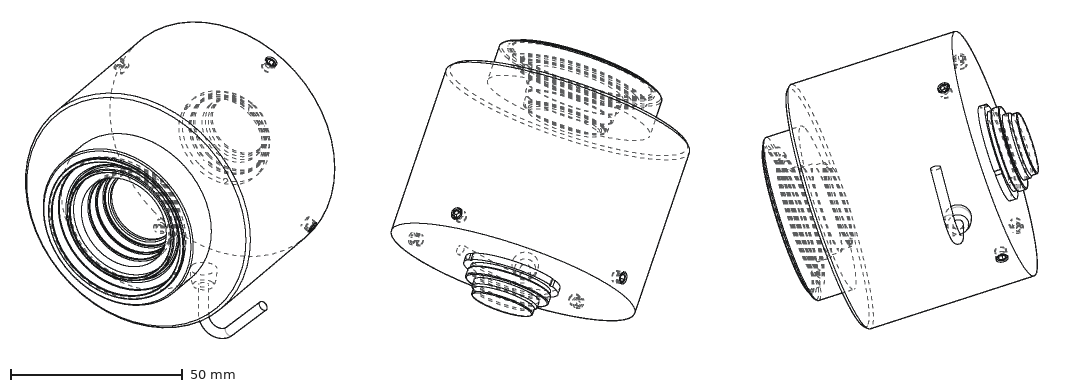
import cadquery as cq
import math


body_radius = 37.5
body_length = 51.7
body_chamfer = 1.0

hub_radius = 50.0 / 2
hub_length = 11.4
hub_chamfer = 0.5
rim_radius = 22.6
rim_height = 1.0
rim_chamfer = 0.2
front_y = -(body_length + hub_length + rim_height)

flange_radius = 29.0 / 2
flange_length = 2.0
neck_radius = 24.5 / 2
neck_length = 1.2
collar_radius = 25.4 / 2
collar_length = 2.7
collar_chamfer = 0.3
barrel_radius = 20.05 / 2
barrel_length = 1.9
tip_radius = 18.8 / 2
tip_length = 2.5
tip_chamfer = 0.3

groove_diameter = 1.35
groove_angles = (30, 150, 270)

mouth_radius = 21.3
mouth_depth = 4.05
mouth_floor_chamfer = 0.2
seat_radius = 18.4
seat_chamfer = 0.5
seat_depth = 4.8
ring_outer_radius = 17.8
ring_inner_radius = 16.8
ring_outer_chamfer = 0.3
ring_inner_chamfer = 0.2
ring_depth = 2.7
first_bore_radius = 14.2
bore_steps = ((13.5, 8.7), (12.9, 12.05), (12.2, 15.4))
step_chamfer = 0.2
bezel_depth = 15.8
bezel_radius = 22.6 / 2
lens_radius = 21.7 / 2
lens_edge_depth = 17.1
lens_bulge = 1.4

screw_y = -4.3
screw_angles = (60, 150, 240, 330)
screw_hole_diameter = 3.6
screw_hole_depth = 2.9
screw_recess = 0.4
screw_diameter = 3.0
socket_across_flats = 2.0
socket_depth = 1.4
cut_margin = 1.0

cable_y = -11.3
gland_radius = 7.7 / 2
gland_mouth_radius = 3.1
gland_shoulder_z = -38.9
gland_end_z = -42.8
cable_radius = 3.0 / 2
joint_overlap = 1.9
bend_radius = 5.0
bend_angle = 135
cable_tail_length = 16.0
overall_height = 96.4
bend_start_z = body_radius - overall_height + cable_radius + bend_radius


def make_turned_body():
    """Revolve the outer profile, given as (radius, y), about the Y axis."""
    flange_y = flange_length
    neck_y = flange_y + neck_length
    collar_y = neck_y + collar_length
    barrel_y = collar_y + barrel_length
    tip_y = barrel_y + tip_length
    hub_y = front_y + rim_height
    profile = [
        (0, front_y),
        (rim_radius - rim_chamfer, front_y),
        (rim_radius, front_y + rim_chamfer),
        (rim_radius, hub_y),
        (hub_radius - hub_chamfer, hub_y),
        (hub_radius, hub_y + hub_chamfer),
        (hub_radius, -body_length),
        (body_radius - body_chamfer, -body_length),
        (body_radius, -body_length + body_chamfer),
        (body_radius, 0),
        (flange_radius, 0),
        (flange_radius, flange_y),
        (neck_radius, flange_y),
        (neck_radius, neck_y),
        (collar_radius - collar_chamfer, neck_y),
        (collar_radius, neck_y + collar_chamfer),
        (collar_radius, collar_y - collar_chamfer),
        (collar_radius - collar_chamfer, collar_y),
        (barrel_radius, collar_y),
        (barrel_radius, barrel_y),
        (tip_radius, barrel_y + barrel_radius - tip_radius),
        (tip_radius, tip_y - tip_chamfer),
        (tip_radius - tip_chamfer, tip_y),
        (0, tip_y),
    ]
    return cq.Workplane("XY").polyline(profile).close().revolve(360, (0, 0), (0, 1))


def make_front_opening():
    """Stepped opening in the front, ending on a domed lens; profile given as (radius, depth)."""
    profile = [
        (0, 0),
        (mouth_radius + rim_chamfer, 0),
        (mouth_radius, rim_chamfer),
        (mouth_radius, mouth_depth - mouth_floor_chamfer),
        (mouth_radius - mouth_floor_chamfer, mouth_depth),
        (seat_radius + seat_chamfer, mouth_depth),
        (seat_radius, mouth_depth + seat_chamfer),
        (seat_radius, seat_depth),
        (ring_outer_radius, seat_depth),
        (ring_outer_radius, ring_depth + ring_outer_chamfer),
        (ring_outer_radius - ring_outer_chamfer, ring_depth),
        (ring_inner_radius + ring_inner_chamfer, ring_depth),
        (ring_inner_radius, ring_depth + ring_inner_chamfer),
        (ring_inner_radius, seat_depth),
        (first_bore_radius, seat_depth),
    ]
    bore_radius = first_bore_radius
    for next_radius, depth in bore_steps:
        profile += [
            (bore_radius, depth),
            (next_radius + step_chamfer, depth),
            (next_radius, depth + step_chamfer),
        ]
        bore_radius = next_radius
    bezel_cone_end = bezel_depth + bezel_radius - lens_radius
    profile += [
        (bore_radius, bezel_depth),
        (bezel_radius, bezel_depth),
        (lens_radius, bezel_cone_end),
        (lens_radius, lens_edge_depth),
        (0, lens_edge_depth),
    ]
    points = [(radius, front_y + depth) for radius, depth in profile]
    opening = cq.Workplane("XY").polyline(points).close().revolve(360, (0, 0), (0, 1))

    dome_radius = (lens_radius**2 + lens_bulge**2) / (2 * lens_bulge)
    dome_center_y = front_y + lens_edge_depth - lens_bulge + dome_radius
    dome = cq.Workplane("XY", origin=(0, dome_center_y, 0)).sphere(dome_radius)
    return opening.cut(dome)


def make_flange_grooves():
    """Half-round grooves parallel to the optical axis."""
    centers = [
        (flange_radius * math.cos(math.radians(a)), flange_radius * math.sin(math.radians(a)))
        for a in groove_angles
    ]
    return (
        cq.Workplane("XZ", origin=(0, flange_length, 0))
        .pushPoints(centers)
        .circle(groove_diameter / 2)
        .extrude(flange_length)
    )


def make_screw_cut(angle):
    """Hole in the body wall with a socket set screw left standing in it."""
    hole_floor = body_radius - screw_hole_depth
    screw_top = body_radius - screw_recess
    hole = (
        cq.Workplane("XY", origin=(0, 0, hole_floor))
        .circle(screw_hole_diameter / 2)
        .extrude(screw_hole_depth + cut_margin)
    )
    screw = (
        cq.Workplane("XY", origin=(0, 0, hole_floor))
        .circle(screw_diameter / 2)
        .extrude(screw_top - hole_floor)
    )
    socket = (
        cq.Workplane("XY", origin=(0, 0, screw_top - socket_depth))
        .polygon(6, socket_across_flats / math.cos(math.pi / 6))
        .extrude(socket_depth)
    )
    cut = hole.cut(screw.cut(socket)).translate((0, screw_y, 0))
    return cut.rotate((0, 0, 0), (0, 1, 0), 90 - angle)


def make_gland():
    """Cable gland with a rounded lower end."""
    gland_top_z = -body_radius + joint_overlap
    return (
        cq.Workplane("XZ", origin=(0, cable_y, 0))
        .moveTo(0, gland_top_z)
        .lineTo(gland_radius, gland_top_z)
        .lineTo(gland_radius, gland_shoulder_z)
        .tangentArcPoint((gland_mouth_radius, gland_end_z), relative=False)
        .lineTo(0, gland_end_z)
        .close()
        .revolve(360, (0, 0), (0, 1))
    )


def make_cable():
    """Straight drop, bend, and straight tail."""
    cable_top_z = gland_end_z + joint_overlap

    def bend_point(angle):
        a = math.radians(angle)
        return (bend_radius * (1 - math.cos(a)), bend_start_z - bend_radius * math.sin(a))

    bend_end = bend_point(bend_angle)
    tail_angle = math.radians(bend_angle - 90)
    tail_end = (
        bend_end[0] + cable_tail_length * math.cos(tail_angle),
        bend_end[1] + cable_tail_length * math.sin(tail_angle),
    )
    path = (
        cq.Workplane("XZ", origin=(0, cable_y, 0))
        .moveTo(0, cable_top_z)
        .lineTo(0, bend_start_z)
        .threePointArc(bend_point(bend_angle / 2), bend_end)
        .lineTo(*tail_end)
    )
    return cq.Workplane("XY", origin=(0, cable_y, cable_top_z)).circle(cable_radius).sweep(path)


result = make_turned_body().cut(make_front_opening()).cut(make_flange_grooves())
for screw_angle in screw_angles:
    result = result.cut(make_screw_cut(screw_angle))
result = result.union(make_gland()).union(make_cable())